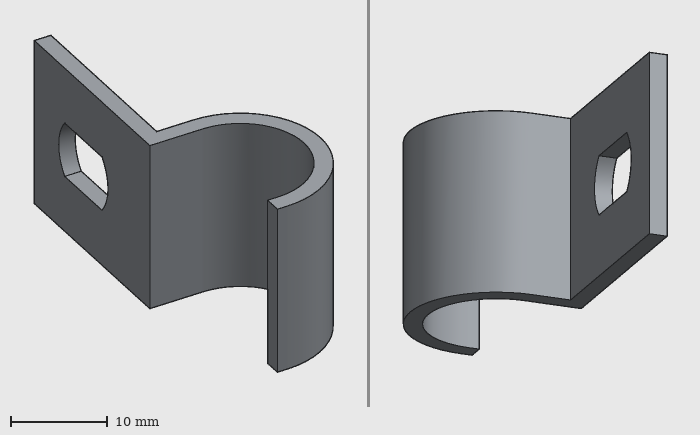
import cadquery as cq

length = 40.8
width = 20.0
thickness = 2.0
depth = 16.0
outer_radius = 9.65
free_end_y = 5.15

hole_diameter = 10.0
hole_height = 6.55
hole_x = 10.0

inner_radius = outer_radius - thickness
arc_x = length - outer_radius
arc_y = depth - outer_radius
web_outer_x = arc_x - outer_radius
web_inner_x = arc_x - inner_radius


def make_strap():
    """Flat flange, upright web and half-round saddle, bent from one strip."""
    return (
        cq.Workplane("XY")
        .moveTo(0, 0)
        .lineTo(web_inner_x, 0)
        .lineTo(web_inner_x, arc_y)
        .threePointArc((arc_x, arc_y + inner_radius), (arc_x + inner_radius, arc_y))
        .lineTo(arc_x + inner_radius, free_end_y)
        .lineTo(length, free_end_y)
        .lineTo(length, arc_y)
        .threePointArc((arc_x, depth), (web_outer_x, arc_y))
        .lineTo(web_outer_x, thickness)
        .lineTo(0, thickness)
        .close()
        .extrude(width)
    )


def make_hole_cutter():
    """Cylinder through the flange, trimmed to the height between the flats."""
    hole_start = cq.Workplane("XZ", origin=(hole_x, thickness, width / 2))
    cylinder = hole_start.circle(hole_diameter / 2).extrude(thickness)
    flats = hole_start.rect(hole_diameter, hole_height).extrude(thickness)
    return cylinder.intersect(flats)


result = make_strap().cut(make_hole_cutter())